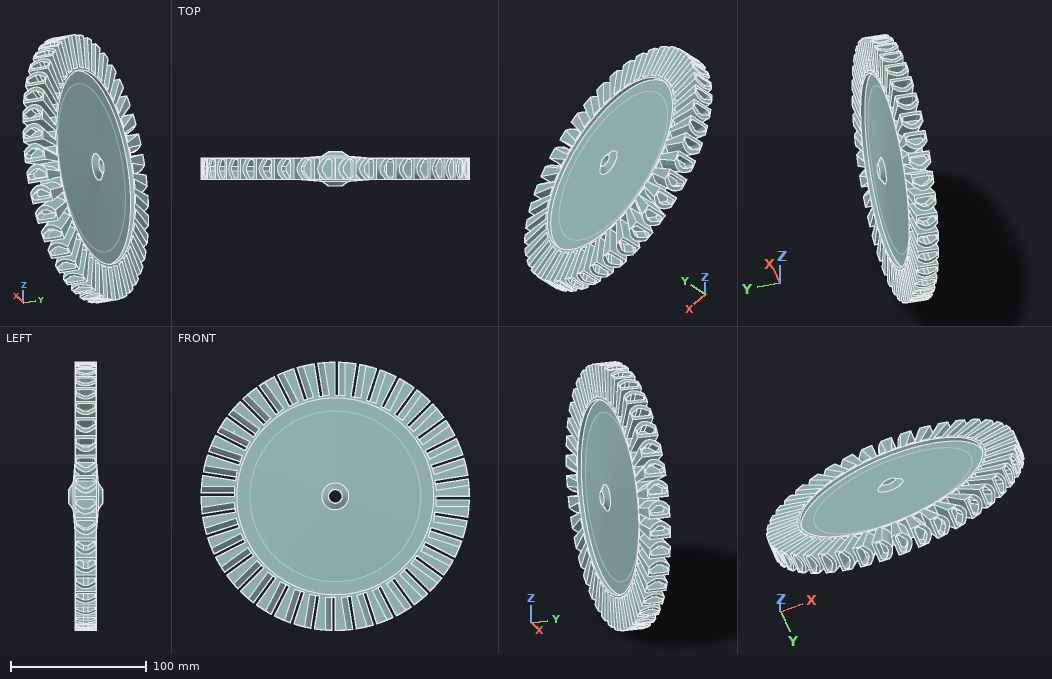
import cadquery as cq

outer_radius = 99.4
rim_width = 15.9
recess_radius = 73.0
web_edge_width = 9.5
cone_radius = 63.2
web_hub_width = 18.7
hub_base_radius = 10.0
hub_width = 25.5
bore_radius = 5.0

tooth_count = 40
slot_floor = 74.7
slot_gap = 2.5
slot_mouth = 7.4

pocket_depth = 10.7
pocket_wall = 2.4
pocket_side = 3.5
pocket_reach = 7.2
pocket_width = 14.0
pocket_apex_half = 1.5
pocket_corner_radius = 1.8
tip_clearance = 2.0


def make_wheel():
    """Revolve the half section, symmetric about the middle plane."""
    upper_side = [
        (bore_radius, hub_width / 2),
        (hub_base_radius, web_hub_width / 2),
        (cone_radius, web_edge_width / 2),
        (recess_radius, web_edge_width / 2),
        (recess_radius, rim_width / 2),
        (outer_radius, rim_width / 2),
    ]
    lower_side = [(r, -y) for r, y in reversed(upper_side)]
    section = cq.Workplane("XY").polyline(upper_side + lower_side).close()
    return section.revolve(360, (0, 0, 0), (0, 1, 0))


def make_slot():
    """Slot beside the plane X = 0, bounded by a smooth bulging flank."""
    half_width = rim_width / 2
    outline = (
        cq.Workplane("XY", origin=(0, 0, slot_floor))
        .moveTo(0, -half_width)
        .lineTo(slot_mouth, -half_width)
        .spline([(slot_gap, 0), (slot_mouth, half_width)], includeCurrent=True)
        .lineTo(0, half_width)
        .close()
    )
    return outline.extrude(outer_radius + tip_clearance - slot_floor)


def make_pocket():
    """Pocket on the -X side of the flat flank, narrowing toward the rounded flank."""
    wide_x = -pocket_wall
    side_x = wide_x - pocket_side
    apex_x = wide_x - pocket_reach
    half_width = pocket_width / 2
    outline = cq.Workplane("XY", origin=(0, 0, outer_radius - pocket_depth)).polyline([
        (wide_x, -half_width),
        (wide_x, half_width),
        (side_x, half_width),
        (apex_x, pocket_apex_half),
        (apex_x, -pocket_apex_half),
        (side_x, -half_width),
    ]).close()
    pocket = outline.extrude(pocket_depth + tip_clearance)
    return pocket.edges("|Z and >X").fillet(pocket_corner_radius)


def around_wheel(cutter):
    """Copies of a cutter, one per tooth, spaced evenly about the Y axis."""
    pitch = 360.0 / tooth_count
    copies = [cutter.rotate((0, 0, 0), (0, 1, 0), i * pitch).val() for i in range(tooth_count)]
    return cq.Workplane(cq.Compound.makeCompound(copies))


result = make_wheel().cut(around_wheel(make_slot())).cut(around_wheel(make_pocket()))